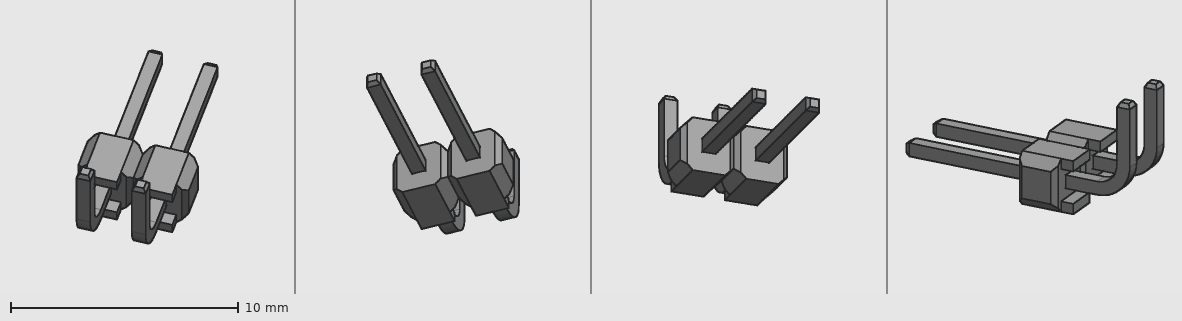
import cadquery as cq
import math


pitch = 2.54
pin_count = 2
pin_positions = [(index - (pin_count - 1) / 2) * pitch for index in range(pin_count)]

body_size = pitch
body_depth = 1.93
rail_reach = pitch - body_depth
long_chamfer = 0.5
upright_chamfer = 0.25
rail_width = body_size - 2 * long_chamfer
rail_height = long_chamfer

pin_width = 0.64
back_length = 6.1
front_reach = 5.12
upright_height = 4.27
bend_inner_radius = 1.0
bend_outer_radius = bend_inner_radius + pin_width
tip_length = 0.21
tip_inset = 0.12
tip_taper = math.degrees(math.atan(tip_inset / tip_length))


def make_block(x):
    """One pitch of the housing: a block with chamfered corners and two standoff rails."""
    block = (
        cq.Workplane("XY")
        .box(body_size, body_depth, body_size)
        .edges("|Y")
        .chamfer(long_chamfer)
    )
    upright_envelope = (
        cq.Workplane("XY")
        .box(body_size, body_depth, body_size)
        .edges("|Z")
        .chamfer(upright_chamfer)
    )
    block = block.intersect(upright_envelope).translate((x, -body_depth / 2, 0))

    rail_offset = (body_size - rail_height) / 2
    for side in (-1, 1):
        rail = (
            cq.Workplane("XY")
            .box(rail_width, rail_reach, rail_height)
            .translate((x, -body_depth - rail_reach / 2, side * rail_offset))
        )
        block = block.union(rail)
    return block


def make_housing():
    """All blocks joined side by side, with a square hole through each for its pin."""
    housing = make_block(pin_positions[0])
    for x in pin_positions[1:]:
        housing = housing.union(make_block(x))
    for x in pin_positions:
        hole = (
            cq.Workplane("XY")
            .box(pin_width, body_depth, pin_width)
            .translate((x, -body_depth / 2, 0))
        )
        housing = housing.cut(hole)
    return housing


def make_tip(plane):
    """A tapered square end that grows from the given plane along its normal."""
    return cq.Workplane(plane).rect(pin_width, pin_width).extrude(tip_length, taper=tip_taper)


def make_pin(x):
    """A square wire that runs along Y, bends upward at the front and tapers at both ends."""
    half = pin_width / 2
    back_y = back_length - tip_length
    top_z = upright_height - tip_length
    bend_y = -front_reach + bend_outer_radius
    bend_z = -half + bend_outer_radius
    diagonal = math.sqrt(0.5)

    wire = (
        cq.Workplane("YZ", origin=(x, 0, 0))
        .moveTo(back_y, -half)
        .lineTo(bend_y, -half)
        .threePointArc(
            (bend_y - bend_outer_radius * diagonal, bend_z - bend_outer_radius * diagonal),
            (-front_reach, bend_z),
        )
        .lineTo(-front_reach, top_z)
        .lineTo(-front_reach + pin_width, top_z)
        .lineTo(-front_reach + pin_width, bend_z)
        .threePointArc(
            (bend_y - bend_inner_radius * diagonal, bend_z - bend_inner_radius * diagonal),
            (bend_y, half),
        )
        .lineTo(back_y, half)
        .close()
        .extrude(half, both=True)
    )
    back_tip = make_tip(cq.Plane(origin=(x, back_y, 0), xDir=(1, 0, 0), normal=(0, 1, 0)))
    top_tip = make_tip(cq.Plane(origin=(x, -front_reach + half, top_z)))
    return wire.union(back_tip).union(top_tip)


housing = make_housing()
pins = [make_pin(x) for x in pin_positions]

result = cq.Compound.makeCompound([housing.solids().val(), *[pin.solids().val() for pin in pins]])